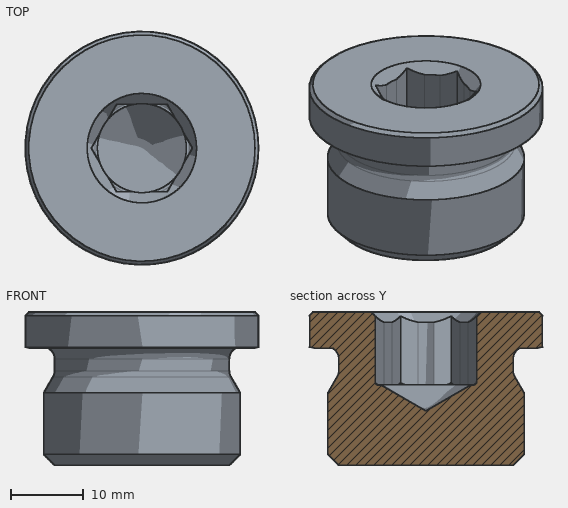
import cadquery as cq
import math

total_height = 21.0
flange_radius = 16.0
flange_height = 5.0
flange_top_chamfer = 0.5
flange_underside_chamfer_height = 0.2
flange_underside_chamfer_angle = math.radians(15)

neck_radius = 12.0
neck_fillet = 1.6
neck_top_arc_height = 1.4
shank_radius = 13.5
shank_chamfer = 1.5
shank_length = 9.9
relief_angle = math.radians(30)

hex_across_flats = 12.0
hex_depth = 10.0
socket_corner_radius = 6.95
socket_floor_fillet = 0.5
drill_radius = 6.1
drill_point_angle = math.radians(60)
countersink_radius = 7.5

flange_bottom = total_height - flange_height
relief_top = shank_length + (shank_radius - neck_radius) / math.tan(relief_angle)
hex_floor = total_height - hex_depth


def revolve_profile(profile):
    """Turn a closed radius/height outline around the Z axis."""
    return profile.close().revolve(360, (0, 0, 0), (0, 1, 0))


def make_body():
    """Flange, filleted relief neck and chamfered shank as one turned body."""
    underside_chamfer_width = flange_underside_chamfer_height / math.tan(flange_underside_chamfer_angle)
    arc_center_radius = neck_radius + neck_fillet
    upper_center_height = flange_bottom - neck_top_arc_height
    lower_center_height = relief_top + neck_fillet * math.tan(relief_angle / 2)
    upper_arc_angle = math.asin(neck_top_arc_height / neck_fillet)

    def neck_arc_point(center_height, angle):
        """Point on a neck arc, with angle zero at the neck and positive upwards."""
        return (
            arc_center_radius - neck_fillet * math.cos(angle),
            center_height + neck_fillet * math.sin(angle),
        )

    profile = (
        cq.Workplane("XZ")
        .moveTo(0, 0)
        .lineTo(shank_radius - shank_chamfer, 0)
        .lineTo(shank_radius, shank_chamfer)
        .lineTo(shank_radius, shank_length)
        .lineTo(*neck_arc_point(lower_center_height, -relief_angle))
        .threePointArc(
            neck_arc_point(lower_center_height, -relief_angle / 2),
            neck_arc_point(lower_center_height, 0),
        )
        .lineTo(*neck_arc_point(upper_center_height, 0))
        .threePointArc(
            neck_arc_point(upper_center_height, upper_arc_angle / 2),
            neck_arc_point(upper_center_height, upper_arc_angle),
        )
        .lineTo(flange_radius - underside_chamfer_width, flange_bottom)
        .lineTo(flange_radius, flange_bottom + flange_underside_chamfer_height)
        .lineTo(flange_radius, total_height - flange_top_chamfer)
        .lineTo(flange_radius - flange_top_chamfer, total_height)
        .lineTo(0, total_height)
    )
    return revolve_profile(profile)


def make_drilled_hole():
    """Pilot hole with a conical point and a 45 degree countersink at its mouth."""
    point_height = drill_radius / math.tan(drill_point_angle)
    countersink_depth = countersink_radius - drill_radius
    profile = (
        cq.Workplane("XZ")
        .moveTo(0, hex_floor - point_height)
        .lineTo(drill_radius, hex_floor)
        .lineTo(drill_radius, total_height - countersink_depth)
        .lineTo(countersink_radius, total_height)
        .lineTo(0, total_height)
    )
    return revolve_profile(profile)


def make_hex_socket():
    """Hexagonal prism with corners on the X axis and its floor corners rounded off."""
    across_corners = hex_across_flats / math.cos(math.pi / 6)
    floor = cq.Workplane("XY", origin=(0, 0, hex_floor))
    prism = floor.polygon(6, across_corners).extrude(hex_depth)
    rounding = floor.circle(socket_corner_radius).extrude(hex_depth)
    rounding = rounding.faces("<Z").edges().fillet(socket_floor_fillet)
    return prism.intersect(rounding)


result = make_body().cut(make_hex_socket()).cut(make_drilled_hole())